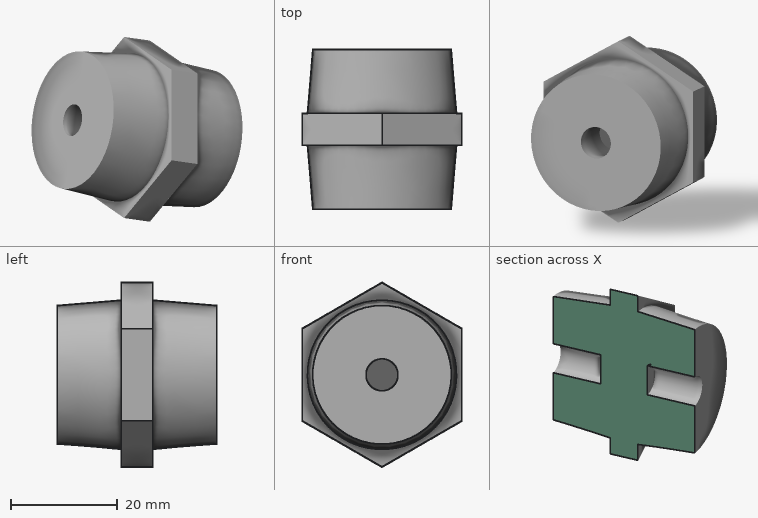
import cadquery as cq
import math

hexagon_sides = 6
across_flats = 30.0
flange_thickness = 6.0

total_length = 30.0
root_diameter = 28.0
end_diameter = 26.0

hole_diameter = 6.0
hole_depth = 10.0

corner_angle = 180 / hexagon_sides
across_corners = across_flats / math.cos(math.radians(corner_angle))
half_length = total_length / 2
half_flange = flange_thickness / 2


def make_flange():
    """Hexagonal prism with corners pointing up and down along Z."""
    return (
        cq.Workplane("XZ")
        .polygon(hexagon_sides, across_corners)
        .extrude(half_flange, both=True)
        .rotate((0, 0, 0), (0, 1, 0), corner_angle)
    )


def make_body():
    """Solid of revolution about Y, tapering from the flange to both ends."""
    profile = [
        (-half_length, 0),
        (-half_length, end_diameter / 2),
        (-half_flange, root_diameter / 2),
        (half_flange, root_diameter / 2),
        (half_length, end_diameter / 2),
        (half_length, 0),
    ]
    return cq.Workplane("YZ").polyline(profile).close().revolve(360, (0, 0, 0), (1, 0, 0))


def drill_end(part, face):
    """Cut a flat-bottomed hole into the centre of an end face."""
    return part.faces(face).workplane(centerOption="CenterOfBoundBox").hole(hole_diameter, hole_depth)


result = make_flange().union(make_body())
for end_face in ("<Y", ">Y"):
    result = drill_end(result, end_face)